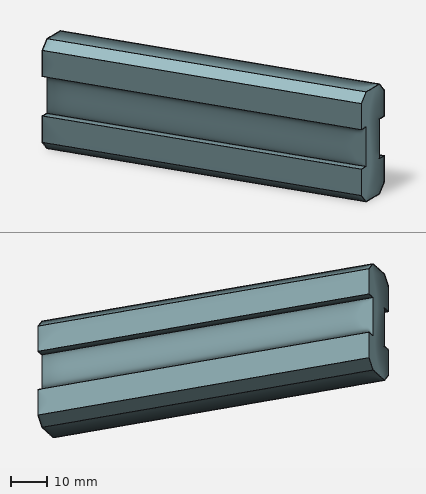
import cadquery as cq

length = 100.0
thickness = 13.5
height = 32.0

chamfer_width = 2.8
chamfer_height = 2.6

groove_depth = 2.7
groove_height = 11.5
lower_flange_height = 10.3

half_thickness = thickness / 2
half_height = height / 2
half_flat = half_thickness - chamfer_width
half_web = half_thickness - groove_depth
chamfer_start = half_height - chamfer_height
groove_bottom = lower_flange_height - half_height
groove_top = groove_bottom + groove_height


def bar_profile():
    """Closed cross-section in the YZ plane, mirrored about Y = 0."""
    right_side = [
        (half_flat, -half_height),
        (half_thickness, -chamfer_start),
        (half_thickness, groove_bottom),
        (half_web, groove_bottom),
        (half_web, groove_top),
        (half_thickness, groove_top),
        (half_thickness, chamfer_start),
        (half_flat, half_height),
    ]
    left_side = [(-y, z) for y, z in reversed(right_side)]
    return cq.Workplane("YZ").polyline(right_side + left_side).close()


result = bar_profile().extrude(length / 2, both=True)